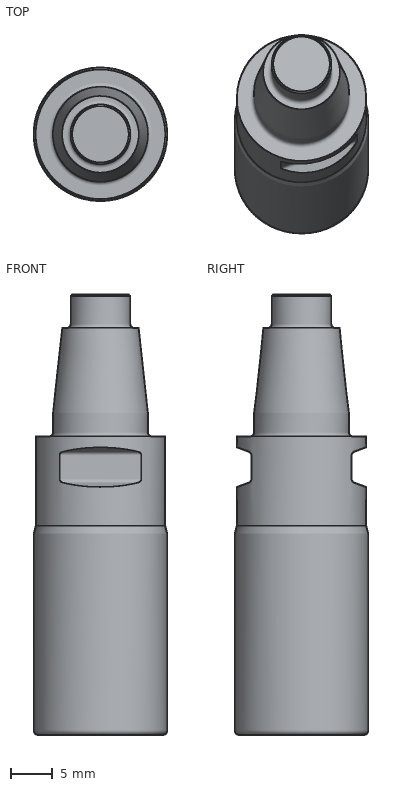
import cadquery as cq
import math

TOTAL_LENGTH = 52.6
SLEEVE_TOP = 25.0
SHOULDER_Z = 35.65
TAPER_BOTTOM = 38.45
TAPER_TOP = 48.6

SLEEVE_RADIUS = 8.0
NECK_RADIUS = 7.75
COLLAR_RADIUS = 5.7
TAPER_TOP_RADIUS = 4.6
PIN_RADIUS = 3.6

SLEEVE_CONE_HEIGHT = 0.95
BOTTOM_ROUND = 0.6
ROOT_FILLET = 0.45
PIN_CHAMFER = 0.2

SLOT_CENTER_Z = 32.0
SLOT_RIM_WIDTH = 4.75
SLOT_WALL_ANGLE = 20.0
SLOT_FILLET = 0.45
FLAT_DISTANCE = 6.0
SLOT_OVERCUT = 0.5

ARC_MID = math.sqrt(0.5)


def revolve_about_z(profile):
    """Turn a closed radius-height profile into a solid of revolution."""
    return profile.close().revolve(360, (0, 0, 0), (0, 1, 0))


def make_sleeve():
    """Cylindrical sleeve with a rounded bottom edge and a shallow conical top."""
    profile = (
        cq.Workplane("XZ")
        .lineTo(SLEEVE_RADIUS - BOTTOM_ROUND, 0)
        .threePointArc(
            (SLEEVE_RADIUS - BOTTOM_ROUND * (1 - ARC_MID), BOTTOM_ROUND * (1 - ARC_MID)),
            (SLEEVE_RADIUS, BOTTOM_ROUND),
        )
        .lineTo(SLEEVE_RADIUS, SLEEVE_TOP - SLEEVE_CONE_HEIGHT)
        .lineTo(NECK_RADIUS, SLEEVE_TOP)
        .lineTo(0, SLEEVE_TOP)
    )
    return revolve_about_z(profile)


def add_root_fillet(profile, radius, base_z):
    """Draw the concave fillet from a flat at base_z up to a cylinder of the given radius."""
    inset = ROOT_FILLET * (1 - ARC_MID)
    return (
        profile.lineTo(radius + ROOT_FILLET, base_z)
        .threePointArc((radius + inset, base_z + inset), (radius, base_z + ROOT_FILLET))
    )


def make_turned_head():
    """Neck, collar, taper and end pin as one turned blank."""
    profile = (
        cq.Workplane("XZ")
        .moveTo(0, SLEEVE_TOP)
        .lineTo(NECK_RADIUS, SLEEVE_TOP)
        .lineTo(NECK_RADIUS, SHOULDER_Z)
    )
    profile = add_root_fillet(profile, COLLAR_RADIUS, SHOULDER_Z)
    profile = profile.lineTo(COLLAR_RADIUS, TAPER_BOTTOM).lineTo(TAPER_TOP_RADIUS, TAPER_TOP)
    profile = add_root_fillet(profile, PIN_RADIUS, TAPER_TOP)
    profile = (
        profile.lineTo(PIN_RADIUS, TOTAL_LENGTH - PIN_CHAMFER)
        .lineTo(PIN_RADIUS - PIN_CHAMFER, TOTAL_LENGTH)
        .lineTo(0, TOTAL_LENGTH)
    )
    return revolve_about_z(profile)


def make_slot_cutter(side):
    """Slot with flared walls and rounded floor corners; side is -1 or +1 along Y."""
    wall_slope = math.tan(math.radians(SLOT_WALL_ANGLE))
    floor_half = SLOT_RIM_WIDTH / 2 - (NECK_RADIUS - FLAT_DISTANCE) * wall_slope
    mouth_half = SLOT_RIM_WIDTH / 2 + SLOT_OVERCUT * wall_slope
    floor_y = side * FLAT_DISTANCE
    mouth_y = side * (NECK_RADIUS + SLOT_OVERCUT)
    return (
        cq.Workplane("YZ")
        .polyline([
            (floor_y, SLOT_CENTER_Z - floor_half),
            (mouth_y, SLOT_CENTER_Z - mouth_half),
            (mouth_y, SLOT_CENTER_Z + mouth_half),
            (floor_y, SLOT_CENTER_Z + floor_half),
        ])
        .close()
        .extrude(NECK_RADIUS, both=True)
        .edges("|X")
        .edges(">Y" if side < 0 else "<Y")
        .fillet(SLOT_FILLET)
    )


def make_head():
    """Turned head with the two opposite wrench slots cut into its neck."""
    head = make_turned_head()
    for side in (-1, 1):
        head = head.cut(make_slot_cutter(side))
    return head


sleeve = make_sleeve()
head = make_head()

result = cq.Compound.makeCompound([sleeve.val(), *head.vals()])